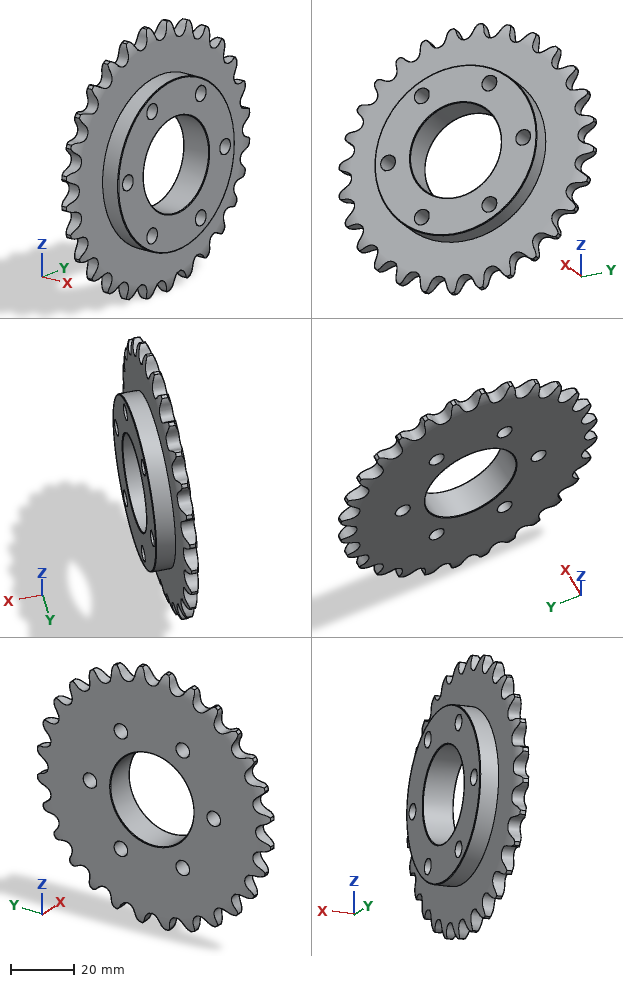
import cadquery as cq
import math


CHAIN_PITCH = 9.525
ROLLER_DIAMETER = 5.08
TOOTH_COUNT = 28
PLATE_THICKNESS = 4.27

TOTAL_LENGTH = 10.67
HUB_DIAMETER = 57.15
HUB_CHAMFER = 0.25
BORE_DIAMETER = 32.0
BORE_CHAMFER = 0.25
BOLT_COUNT = 6
BOLT_CIRCLE_DIAMETER = 47.625
BOLT_HOLE_DIAMETER = 5.2

PITCH_ANGLE = 2 * math.pi / TOOTH_COUNT
HALF_PITCH_ANGLE = PITCH_ANGLE / 2
PITCH_RADIUS = CHAIN_PITCH / (2 * math.sin(HALF_PITCH_ANGLE))
TIP_ALLOWANCE = 0.6
TIP_RADIUS = CHAIN_PITCH * (TIP_ALLOWANCE + 1 / math.tan(HALF_PITCH_ANGLE)) / 2

SEATING_CLEARANCE = 0.0762
SEATING_RADIUS = (1.005 * ROLLER_DIAMETER + SEATING_CLEARANCE) / 2
SEATING_ANGLE = math.radians(35 + 60 / TOOTH_COUNT)
WORKING_ANGLE = math.radians(18 - 56 / TOOTH_COUNT)
WORKING_CENTER_OFFSET = 0.8 * ROLLER_DIAMETER
WORKING_RADIUS = WORKING_CENTER_OFFSET + SEATING_RADIUS
TOPPING_CENTER_OFFSET = 1.4 * ROLLER_DIAMETER
FLANK_ANGLE = SEATING_ANGLE - WORKING_ANGLE

SIDE_DEPTH = CHAIN_PITCH / 2
SIDE_SETBACK = CHAIN_PITCH / 8
SIDE_RADIUS = (SIDE_DEPTH**2 + SIDE_SETBACK**2) / (2 * SIDE_SETBACK)


def polar(center, radius, angle):
    """Point at the given distance and angle (radians) from a centre."""
    return (center[0] + radius * math.cos(angle), center[1] + radius * math.sin(angle))


def mirrored(point):
    """The same point on the other side of the gap."""
    return (-point[0], point[1])


def tooth_gap():
    """Cutter for the gap centred on the local Y axis, reaching past the tooth tips."""
    roller = (0, PITCH_RADIUS)
    working_center = polar(roller, WORKING_CENTER_OFFSET, SEATING_ANGLE)
    topping_center = polar(roller, TOPPING_CENTER_OFFSET, math.pi + HALF_PITCH_ANGLE)

    root = (0, PITCH_RADIUS - SEATING_RADIUS)
    seat_end = polar(roller, SEATING_RADIUS, math.pi + SEATING_ANGLE)
    working_middle = polar(working_center, WORKING_RADIUS, math.pi + FLANK_ANGLE + WORKING_ANGLE / 2)
    working_end = polar(working_center, WORKING_RADIUS, math.pi + FLANK_ANGLE)

    topping_radius = (
        WORKING_CENTER_OFFSET * math.cos(WORKING_ANGLE)
        + TOPPING_CENTER_OFFSET * math.cos(FLANK_ANGLE - HALF_PITCH_ANGLE)
        - WORKING_RADIUS
    )
    topping_start = polar(topping_center, topping_radius, FLANK_ANGLE)
    topping_end_angle = math.asin((TIP_RADIUS - topping_center[1]) / topping_radius)
    topping_middle = polar(topping_center, topping_radius, (FLANK_ANGLE + topping_end_angle) / 2)
    topping_end = polar(topping_center, topping_radius, topping_end_angle)

    return (
        cq.Workplane("YZ")
        .moveTo(*topping_end)
        .threePointArc(topping_middle, topping_start)
        .lineTo(*working_end)
        .threePointArc(working_middle, seat_end)
        .threePointArc(root, mirrored(seat_end))
        .threePointArc(mirrored(working_middle), mirrored(working_end))
        .lineTo(*mirrored(topping_start))
        .threePointArc(mirrored(topping_middle), mirrored(topping_end))
        .close()
        .extrude(PLATE_THICKNESS)
    )


def plate_blank():
    """Disc whose rim narrows towards the tip along an arc on each face."""
    side_start = TIP_RADIUS - SIDE_DEPTH
    middle_angle = math.asin(SIDE_DEPTH / SIDE_RADIUS) / 2
    middle_setback = SIDE_RADIUS * (1 - math.cos(middle_angle))
    middle_radius = side_start + SIDE_RADIUS * math.sin(middle_angle)
    return (
        cq.Workplane("XY")
        .lineTo(0, side_start)
        .threePointArc((middle_setback, middle_radius), (SIDE_SETBACK, TIP_RADIUS))
        .lineTo(PLATE_THICKNESS - SIDE_SETBACK, TIP_RADIUS)
        .threePointArc(
            (PLATE_THICKNESS - middle_setback, middle_radius),
            (PLATE_THICKNESS, side_start),
        )
        .lineTo(PLATE_THICKNESS, 0)
        .close()
        .revolve(360, (0, 0, 0), (1, 0, 0))
    )


def toothed_plate():
    """Plate with evenly spaced gaps, one of them centred on +Z and one on +Y."""
    plate = plate_blank()
    gap = tooth_gap()
    for index in range(TOOTH_COUNT):
        turn = math.degrees(index * PITCH_ANGLE)
        plate = plate.cut(gap.rotate((0, 0, 0), (1, 0, 0), turn))
    return plate


def hub():
    """Solid cylinder along the full length, chamfered at its free end."""
    return (
        cq.Workplane("YZ")
        .circle(HUB_DIAMETER / 2)
        .extrude(TOTAL_LENGTH)
        .faces(">X")
        .chamfer(HUB_CHAMFER)
    )


def chamfered_bore():
    """Cutter for the through bore, flared by the edge chamfer at both ends."""
    bore_radius = BORE_DIAMETER / 2
    mouth_radius = bore_radius + BORE_CHAMFER
    return (
        cq.Workplane("XY")
        .lineTo(0, mouth_radius)
        .lineTo(BORE_CHAMFER, bore_radius)
        .lineTo(TOTAL_LENGTH - BORE_CHAMFER, bore_radius)
        .lineTo(TOTAL_LENGTH, mouth_radius)
        .lineTo(TOTAL_LENGTH, 0)
        .close()
        .revolve(360, (0, 0, 0), (1, 0, 0))
    )


def bolt_holes():
    """Cutters for the ring of holes through plate and hub."""
    return (
        cq.Workplane("YZ")
        .polarArray(BOLT_CIRCLE_DIAMETER / 2, 0, 360, BOLT_COUNT)
        .circle(BOLT_HOLE_DIAMETER / 2)
        .extrude(TOTAL_LENGTH)
    )


result = toothed_plate().union(hub()).cut(chamfered_bore()).cut(bolt_holes())